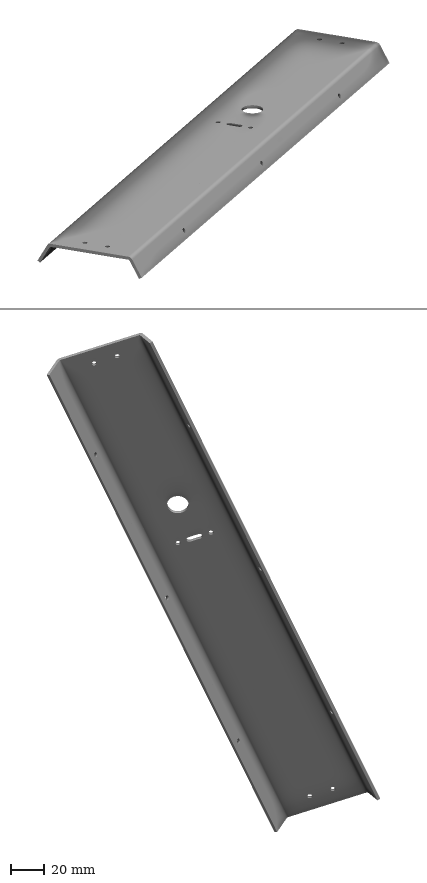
import cadquery as cq
import math

LENGTH = 375.0
WIDTH = 68.93
HEIGHT = 13.39

THICKNESS = 2.0
BEND_ANGLE = 60.0
INNER_BEND_RADIUS = 1.0

END_HOLE_DIAMETER = 3.0
END_HOLE_SPACING = 15.0
END_HOLE_EDGE_DISTANCE = 10.0
LARGE_HOLE_DIAMETER = 13.0
LARGE_HOLE_Y = 58.75
SLOT_Y = 31.5
SLOT_LENGTH = 10.25
SLOT_WIDTH = 3.5
SLOT_HOLE_DIAMETER = 3.0
SLOT_HOLE_SPACING = 21.5

FLANGE_HOLE_DIAMETER = 3.0
FLANGE_HOLE_PITCH = 117.5
FLANGE_HOLE_TIP_DISTANCE = 5.0

CUT_MARGIN = 1.0
cut_depth = THICKNESS + 2 * CUT_MARGIN

angle = math.radians(BEND_ANGLE)
outer_bend_radius = INNER_BEND_RADIUS + THICKNESS
flange_length = (HEIGHT - THICKNESS * math.cos(angle)) / math.sin(angle)
apex_x = WIDTH / 2 - flange_length * math.cos(angle)
web_half_width = apex_x - outer_bend_radius * math.tan(angle / 2)


def bend_point(radius, turn):
    """Point of the right-hand bend at a radius, turned away from the web by an angle."""
    x = web_half_width + radius * math.sin(turn)
    z = radius * math.cos(turn) - outer_bend_radius
    return x, z


def mirrored(point):
    """Same point on the left-hand side."""
    return -point[0], point[1]


def folded_sheet():
    """Web with a flange folded down along each long side; top face at Z = 0."""
    outer_mid = bend_point(outer_bend_radius, angle / 2)
    outer_end = bend_point(outer_bend_radius, angle)
    inner_mid = bend_point(INNER_BEND_RADIUS, angle / 2)
    inner_end = bend_point(INNER_BEND_RADIUS, angle)
    outer_tip = (WIDTH / 2, -flange_length * math.sin(angle))
    inner_tip = (WIDTH / 2 - THICKNESS * math.sin(angle), -HEIGHT)
    profile = (
        cq.Workplane("XZ")
        .moveTo(-web_half_width, 0)
        .lineTo(web_half_width, 0)
        .threePointArc(outer_mid, outer_end)
        .lineTo(*outer_tip)
        .lineTo(*inner_tip)
        .lineTo(*inner_end)
        .threePointArc(inner_mid, (web_half_width, -THICKNESS))
        .lineTo(-web_half_width, -THICKNESS)
        .threePointArc(mirrored(inner_mid), mirrored(inner_end))
        .lineTo(*mirrored(inner_tip))
        .lineTo(*mirrored(outer_tip))
        .lineTo(*mirrored(outer_end))
        .threePointArc(mirrored(outer_mid), (-web_half_width, 0))
        .close()
    )
    return profile.extrude(LENGTH / 2, both=True)


def web_cutter_plane():
    """Plane just above the web, from which its holes are cut downward."""
    return cq.Workplane("XY").workplane(offset=CUT_MARGIN)


def web_holes(points, diameter):
    """Round cutters through the web."""
    return web_cutter_plane().pushPoints(points).circle(diameter / 2).extrude(-cut_depth)


def web_slot():
    """Round-ended slot cutter through the web, long along X."""
    plane = web_cutter_plane().center(0, SLOT_Y)
    return plane.slot2D(SLOT_LENGTH, SLOT_WIDTH).extrude(-cut_depth)


def flange_hole(side, y):
    """Cutter square to the flange on one side (-1 left, +1 right)."""
    normal = cq.Vector(side * math.sin(angle), 0, math.cos(angle))
    along_flange = flange_length - FLANGE_HOLE_TIP_DISTANCE
    x = side * (apex_x + along_flange * math.cos(angle))
    z = -along_flange * math.sin(angle)
    start = cq.Vector(x, y, z) + normal * CUT_MARGIN
    return cq.Solid.makeCylinder(FLANGE_HOLE_DIAMETER / 2, cut_depth, start, normal * -1)


end_hole_y = LENGTH / 2 - END_HOLE_EDGE_DISTANCE
end_holes = [(side * END_HOLE_SPACING / 2, end * end_hole_y) for side in (-1, 1) for end in (-1, 1)]
slot_holes = [(side * SLOT_HOLE_SPACING / 2, SLOT_Y) for side in (-1, 1)]

result = folded_sheet()
result = result.cut(web_holes(end_holes, END_HOLE_DIAMETER))
result = result.cut(web_holes(slot_holes, SLOT_HOLE_DIAMETER))
result = result.cut(web_holes([(0, LARGE_HOLE_Y)], LARGE_HOLE_DIAMETER))
result = result.cut(web_slot())
for side in (-1, 1):
    for row in (-1, 0, 1):
        result = result.cut(flange_hole(side, row * FLANGE_HOLE_PITCH))